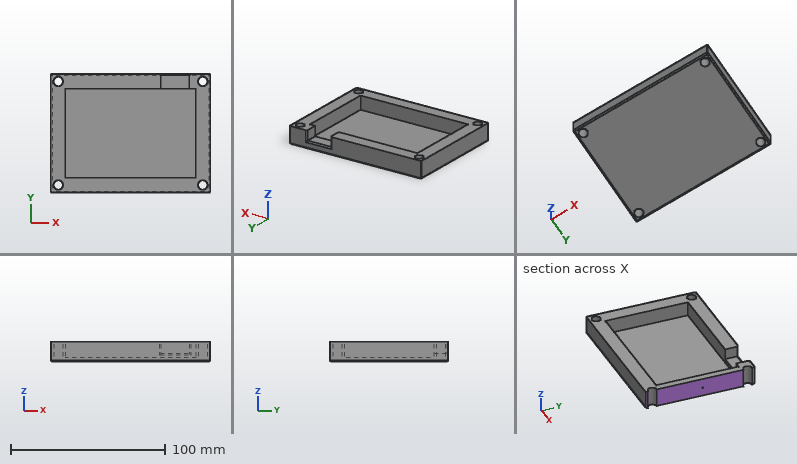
import cadquery as cq

length = 103.5
width = 77.0
height = 13.0
corner_chamfer = 0.5
base_chamfer = 1.0

wall = 9.5
pocket_depth = 10.0

hole_diameter = 6.0
hole_inset = 5.0

notch_start = 19.7
notch_width = 18.4
notch_depth = 7.5
notch_chamfer = 1.0


def make_block():
    block = cq.Workplane("XY").box(length, width, height, centered=(True, True, False))
    block = block.faces("<Z").edges().chamfer(base_chamfer)
    return block.edges("|Z").chamfer(corner_chamfer)


def make_pocket():
    return (
        cq.Workplane("XY", origin=(0, 0, height - pocket_depth))
        .rect(length - 2 * wall, width - 2 * wall)
        .extrude(pocket_depth)
    )


def make_holes():
    return (
        cq.Workplane("XY")
        .rect(length - 2 * hole_inset, width - 2 * hole_inset, forConstruction=True)
        .vertices()
        .circle(hole_diameter / 2)
        .extrude(height)
    )


def make_notch():
    outer_y = width / 2
    slot = (
        cq.Workplane("XY", origin=(notch_start, outer_y - wall, height - notch_depth))
        .box(notch_width, wall, notch_depth, centered=False)
    )
    flare_profile = [
        (notch_start - notch_chamfer, outer_y),
        (notch_start + notch_width + notch_chamfer, outer_y),
        (notch_start + notch_width, outer_y - notch_chamfer),
        (notch_start, outer_y - notch_chamfer),
    ]
    flare_depth = notch_depth + notch_chamfer
    flare = cq.Workplane("XY", origin=(0, 0, height - flare_depth)).polyline(flare_profile).close()
    flare = flare.extrude(flare_depth)
    floor_profile = [
        (outer_y - notch_chamfer, height - notch_depth),
        (outer_y, height - flare_depth),
        (outer_y, height),
        (outer_y - notch_chamfer, height),
    ]
    floor_slope = cq.Workplane("YZ").polyline(floor_profile).close().extrude(length / 2)
    return slot.union(flare.intersect(floor_slope))


result = make_block().cut(make_pocket()).cut(make_holes()).cut(make_notch())